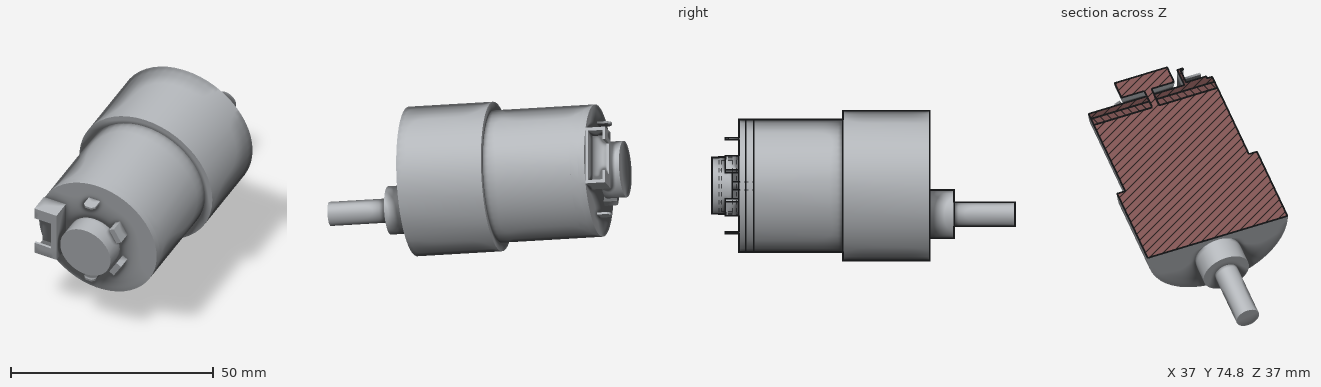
import cadquery as cq


shaft_diameter = 6.0
shaft_length = 15.0
output_z = -7.0
boss_diameter = 12.0
boss_length = 6.0
gearbox_diameter = 37.0
gearbox_length = 21.5
can_diameter = 32.75
can_length = 22.0

cap_thickness = 2.0
board_thickness = 1.65
magnet_gap = 1.65
magnet_diameter = 14.0
rear_shaft_diameter = 2.0

can_rear_y = -(gearbox_length + can_length)
cap_rear_y = can_rear_y - cap_thickness
board_rear_y = cap_rear_y - board_thickness
magnet_front_y = board_rear_y - magnet_gap
overall_length = 74.8
magnet_rear_y = shaft_length + boss_length - overall_length

connector_min_x = -15.0
connector_width = 6.1
connector_height = 14.2
connector_depth = 5.0
connector_end_wall = 0.8
connector_side_wall = 0.635
connector_notch_width = 4.6
connector_notch_height = 7.9

standing_length = 3.4
terminal_x = -0.9
terminal_z = 11.6
terminal_width = 3.15
terminal_thickness = 0.5
terminal_chamfer = 0.75
sensor_x = 6.6
sensor_z = 5.3
sensor_width = 1.5
sensor_height = 4.05
sensor_angle = 30.0


def cylinder(diameter, front_y, rear_y, axis_z=0):
    """Cylinder along Y between two Y positions, at height axis_z."""
    plane = cq.Workplane("XZ", origin=(0, front_y, axis_z))
    return plane.circle(diameter / 2).extrude(front_y - rear_y)


def block(min_x, width, front_y, depth, height):
    """Box centred on Z = 0, running from front_y toward -Y."""
    box = cq.Workplane("XY").box(width, depth, height, centered=(False, False, True))
    return box.translate((min_x, front_y - depth, 0))


def make_gearmotor():
    """Gearbox, can and output shaft, with the encoder magnet on the rear shaft."""
    shaft_end_y = boss_length + shaft_length
    motor = cylinder(gearbox_diameter, 0, -gearbox_length)
    motor = motor.union(cylinder(boss_diameter, boss_length, 0, output_z))
    motor = motor.union(cylinder(shaft_diameter, shaft_end_y, boss_length, output_z))
    motor = motor.union(cylinder(can_diameter, -gearbox_length, can_rear_y))
    motor = motor.union(cylinder(rear_shaft_diameter, can_rear_y, magnet_front_y))
    return motor.union(cylinder(magnet_diameter, magnet_front_y, magnet_rear_y))


def make_disc(front_y, rear_y):
    """Disc as wide as the can, with a hole for the rear shaft."""
    disc = cylinder(can_diameter, front_y, rear_y)
    return disc.cut(cylinder(rear_shaft_diameter, front_y, rear_y))


def make_connector():
    """Shell open toward -X, with a notch through its rear wall."""
    shell = block(connector_min_x, connector_width, board_rear_y, connector_depth, connector_height)
    cavity = block(
        connector_min_x,
        connector_width - connector_end_wall,
        board_rear_y - connector_side_wall,
        connector_depth - 2 * connector_side_wall,
        connector_height - 2 * connector_end_wall,
    )
    notch = block(
        connector_min_x,
        connector_notch_width,
        board_rear_y - connector_side_wall,
        connector_depth - connector_side_wall,
        connector_notch_height,
    )
    return shell.cut(cavity).cut(notch)


def make_terminal(side):
    """Flat tab with chamfered tip corners, above (+1) or below (-1) the axis."""
    tab = cq.Workplane("XY").box(terminal_width, standing_length, terminal_thickness)
    tab = tab.faces("<Y").edges("|Z").chamfer(terminal_chamfer)
    return tab.translate((terminal_x, board_rear_y - standing_length / 2, side * terminal_z))


def make_sensor(side):
    """Tilted sensor block beside the magnet, above (+1) or below (-1) the axis."""
    sensor = cq.Workplane("XY").box(sensor_width, standing_length, sensor_height)
    sensor = sensor.rotate((0, 0, 0), (0, 1, 0), -side * sensor_angle)
    return sensor.translate((sensor_x, board_rear_y - standing_length / 2, side * sensor_z))


def make_encoder_board():
    """Board disc carrying the connector, terminals and sensors."""
    board = make_disc(cap_rear_y, board_rear_y).union(make_connector())
    for side in (1, -1):
        board = board.union(make_terminal(side))
        board = board.union(make_sensor(side))
    return board


gearmotor = make_gearmotor()
end_cap = make_disc(can_rear_y, cap_rear_y)
encoder_board = make_encoder_board()

result = cq.Compound.makeCompound([gearmotor.val(), end_cap.val(), encoder_board.val()])